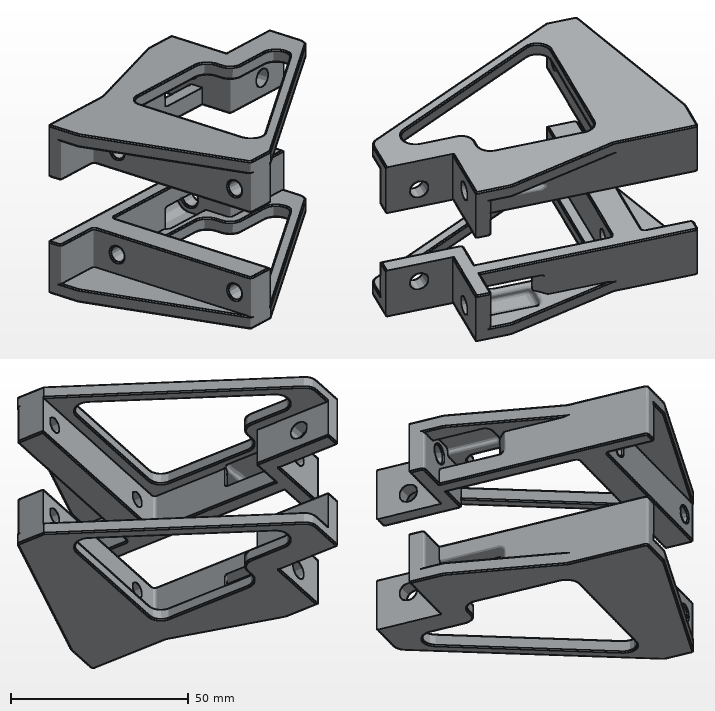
import cadquery as cq
import math

length_x = 70.8
length_y = 90.0
body_height = 16.0
stack_height = 52.0

plate_thickness = 4.0
wall_thickness = 4.7
wall_offset = 10.0
arm_x = 20.0
notch_y = 70.0
front_wall_y = 15.1
front_wall_back_y = 24.0

side_slope_top_y = 59.2
side_slope_bottom_y = 25.2
front_slope_x = 20.8
brace_end_y = 24.2
brace_angle = 60.0
brace_width = 3.3

window_inset = 8.0
window_front_y = 27.4

chamfer = 0.4
corner_radius = 4.0
edge_radius = 1.0

mount_diameter = 5.5
arm_hole_y = 80.0
arm_hole_z = 10.0
notch_hole_x = wall_offset
notch_hole_z = 6.0
screw_diameter = 4.7
screw_xs = (23.0, 65.0)
screw_z = 10.0

head_radius = 4.5
trough_end_y = 48.15
trough_end_radius = 1.8
trough_reach = 5.2
opening_bevel = 3.15
opening_bevel_radius = 3.0

pick_margin = 0.045

side_inner_x = wall_offset + wall_thickness
arm_inner_x = arm_x + wall_thickness
notch_inner_y = notch_y - wall_thickness
slope_run = 1 / math.tan(math.radians(brace_angle))


def brace_x(y, inset=0.0):
    """X of the diagonal edge at the given Y, moved inward by inset."""
    return length_x - (y - brace_end_y) * slope_run - inset / math.sin(math.radians(brace_angle))


def edges_within(low, high):
    """Selector for the edges that lie inside the box from low to high."""
    low_corner = tuple(value - pick_margin for value in low)
    high_corner = tuple(value + pick_margin for value in high)
    return cq.selectors.BoxSelector(low_corner, high_corner, boundingbox=True)


def upright_fillet(solid, radius, points):
    """Round the upright edges at the given XY points."""
    for x, y in points:
        solid = solid.edges(edges_within((x, y, 0), (x, y, body_height))).fillet(radius)
    return solid


def chamfer_rim(solid, face):
    """Chamfer the outline of an end face, leaving the arm's mating face sharp."""
    mating_face = edges_within((arm_x, notch_y, 0), (arm_x, length_y, body_height))
    sharp = solid.edges(mating_face).vals()
    rim = solid.faces(face).edges().vals()
    chosen = [edge for edge in rim if not any(edge.isSame(other) for other in sharp)]
    return solid.newObject(chosen).chamfer(chamfer)


def make_window():
    left = wall_offset + window_inset
    step_x = arm_x + window_inset
    step_y = notch_y - window_inset
    tip_y = brace_end_y + (brace_x(brace_end_y, brace_width) - step_x) / slope_run
    points = [
        (left, window_front_y),
        (brace_x(window_front_y, brace_width), window_front_y),
        (step_x, tip_y),
        (step_x, step_y),
        (left, step_y),
    ]
    window = cq.Workplane("XY").polyline(points).close().extrude(plate_thickness)
    return window.edges("|Z").fillet(corner_radius)


def cut_trough(plate):
    """Screw head clearance along the notch hole axis: round, with a flat side toward the window."""
    length = notch_inner_y - trough_end_y
    base = cq.Workplane("XZ", origin=(notch_hole_x, notch_inner_y, notch_hole_z))
    round_part = base.circle(head_radius).extrude(length)
    flat_part = base.center(trough_reach / 2, 0).rect(trough_reach, 2 * head_radius).extrude(length)
    flat_part = flat_part.edges("|Y and >X").fillet(edge_radius)
    trough = round_part.union(flat_part).faces("<Y").edges().fillet(trough_end_radius)
    plate = plate.cut(trough)
    rim = edges_within(
        (notch_hole_x - head_radius, trough_end_y, plate_thickness),
        (notch_hole_x + trough_reach, notch_inner_y, plate_thickness),
    )
    return plate.edges(rim).fillet(edge_radius)


def make_plate():
    points = [
        (wall_offset, 0),
        (front_slope_x, 0),
        (length_x, front_wall_y),
        (length_x, brace_end_y),
        (brace_x(length_y), length_y),
        (arm_x, length_y),
        (arm_x, notch_y),
        (0, notch_y),
        (0, side_slope_top_y),
        (wall_offset, side_slope_bottom_y),
    ]
    plate = cq.Workplane("XY").polyline(points).close().extrude(plate_thickness)
    blended = [points[i] for i in (1, 4, 8, 9)]
    plate = upright_fillet(plate, corner_radius, blended)
    plate = upright_fillet(plate, edge_radius, [points[0], points[2]])
    plate = plate.cut(make_window())
    plate = chamfer_rim(chamfer_rim(plate, "<Z"), ">Z")
    return cut_trough(plate)


def cut_opening(walls):
    """Opening in the side wall over the trough, with a bevelled end and a rounded outer edge."""
    outer_y = trough_end_y - opening_bevel
    bevel_corner = (wall_offset + opening_bevel, trough_end_y)
    points = [
        (wall_offset, notch_inner_y),
        (wall_offset, outer_y),
        bevel_corner,
        (side_inner_x, trough_end_y),
        (side_inner_x, notch_inner_y),
    ]
    top = notch_hole_z + head_radius
    opening = cq.Workplane("XY").polyline(points).close().extrude(top)
    opening = upright_fillet(opening, opening_bevel_radius, [bevel_corner])
    opening = opening.faces(">Z").edges("<Y").fillet(edge_radius)
    walls = walls.cut(opening)
    outer_edge = edges_within((wall_offset, outer_y, chamfer), (wall_offset, notch_inner_y, top))
    return walls.edges(outer_edge).fillet(edge_radius)


def make_walls():
    points = [
        (wall_offset, 0),
        (side_inner_x, 0),
        (side_inner_x, front_wall_y),
        (length_x, front_wall_y),
        (length_x, front_wall_back_y),
        (side_inner_x, front_wall_back_y),
        (side_inner_x, notch_inner_y),
        (arm_inner_x, notch_inner_y),
        (arm_inner_x, length_y),
        (arm_x, length_y),
        (arm_x, notch_y),
        (0, notch_y),
        (0, notch_inner_y),
        (wall_offset, notch_inner_y),
    ]
    base = cq.Workplane("XY").workplane(offset=chamfer)
    walls = base.polyline(points).close().extrude(body_height - chamfer)
    rounded = [points[i] for i in (0, 1, 2, 3, 5, 7, 12)]
    walls = upright_fillet(walls, edge_radius, rounded)
    return cut_opening(chamfer_rim(walls, ">Z"))


def chamfered_hole(diameter, origin, depth):
    """Hole along Y through a wall, chamfered at the face it starts from."""
    hole = cq.Workplane("XZ", origin=origin).circle(diameter / 2).extrude(-depth)
    mouth = cq.Solid.makeCone(diameter / 2 + chamfer, diameter / 2, chamfer, pnt=origin, dir=(0, 1, 0))
    return hole.union(cq.Workplane(mouth))


def make_holes():
    holes = chamfered_hole(mount_diameter, (notch_hole_x, notch_inner_y, notch_hole_z), wall_thickness)
    for x in screw_xs:
        depth = front_wall_back_y - front_wall_y
        holes = holes.add(chamfered_hole(screw_diameter, (x, front_wall_y, screw_z), depth))
    arm_hole = cq.Workplane("YZ", origin=(arm_x, arm_hole_y, arm_hole_z))
    arm_hole = arm_hole.circle(mount_diameter / 2).extrude(wall_thickness)
    return holes.add(arm_hole).combine()


def make_bracket():
    return make_plate().union(make_walls()).cut(make_holes())


lower_bracket = make_bracket()
upper_bracket = lower_bracket.mirror("XY", (0, 0, stack_height / 2))

result = cq.Compound.makeCompound([lower_bracket.val(), upper_bracket.val()])